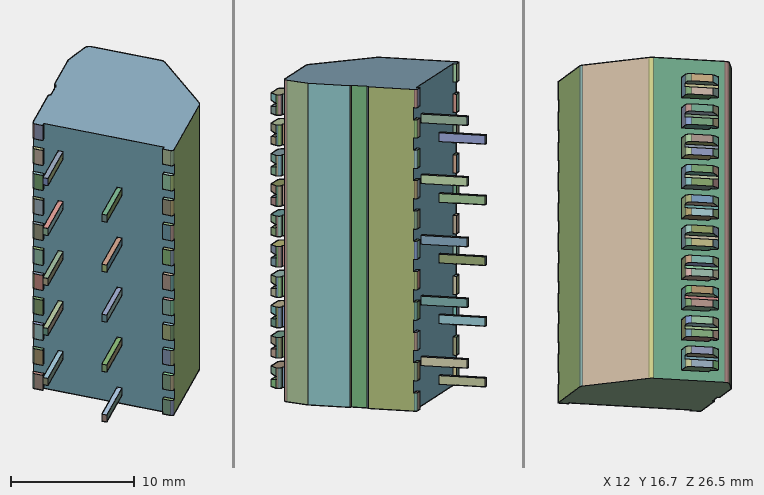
import cadquery as cq
import math


length = 26.5
body_width = 12.0
total_depth = 16.7
pole_count = 10

foot_length = 1.5
foot_width = 0.9
foot_height = 0.3
foot_radius = 0.2
pole_pitch = (length - foot_length) / pole_count

body_top = 11.5
left_slant_start = 9.17
left_slant_angle = 20.0
right_slant_start = 6.86
corner_radius = 0.5
groove_bottom = 4.05
groove_top = 5.65
groove_depth = 0.19
groove_top_taper = 0.08

lever_top = 13.1
lever_left = 2.01
lever_right = 4.82
lever_length = 1.7
first_lever_z = 1.65
hook_overhang = 0.53
hook_underside = 12.08
lever_bevel = 0.6
hook_tip_radius = 0.2
lever_corner_radius = 0.4
slot_top_width = 0.5
slot_floor_width = 0.25

pin_width = 0.42
pin_height = 0.72
first_pin_z = 1.22
pin_left_x = 2.33
pin_right_x = 7.35
pin_tip = lever_top - total_depth

embed = 0.26


def make_body():
    """Extrude the cross-section with its grooved side and two slanted corners."""
    left_slant_run = (body_top - left_slant_start) * math.tan(math.radians(left_slant_angle))
    right_slant_run = body_top - right_slant_start
    outline = [
        (0, foot_height),
        (0, groove_bottom),
        (groove_depth, groove_bottom + groove_depth),
        (groove_depth, groove_top - groove_top_taper),
        (0, groove_top),
        (0, left_slant_start),
        (left_slant_run, body_top),
        (body_width - right_slant_run, body_top),
        (body_width, right_slant_start),
        (body_width, foot_height),
    ]
    rounded_corners = [
        (left_slant_run, body_top),
        (body_width - right_slant_run, body_top),
        (body_width, right_slant_start),
    ]
    body = cq.Workplane("XY").polyline(outline).close().extrude(length)
    for x, y in rounded_corners:
        corner_edge = cq.selectors.NearestToPointSelector((x, y, length / 2))
        body = body.edges(corner_edge).fillet(corner_radius)
    return body


def make_foot():
    """Left-hand foot, rounded at its outer edge."""
    return (
        cq.Workplane("XY")
        .moveTo(foot_width, foot_height)
        .lineTo(foot_width, 0)
        .lineTo(foot_radius, 0)
        .radiusArc((0, foot_radius), foot_radius)
        .lineTo(0, foot_height)
        .close()
        .extrude(foot_length)
    )


def make_lever():
    """Hooked lever centred on Z = 0, with a tapered slot along X in its top."""
    neck_left = lever_left + hook_overhang
    bevel_base = lever_top - lever_bevel
    lever = (
        cq.Workplane("XY", origin=(0, 0, -lever_length / 2))
        .moveTo(neck_left, body_top - embed)
        .lineTo(neck_left, hook_underside)
        .lineTo(lever_left + hook_tip_radius, hook_underside)
        .radiusArc((lever_left, hook_underside + hook_tip_radius), hook_tip_radius)
        .lineTo(lever_left, bevel_base)
        .lineTo(lever_left + lever_bevel, lever_top)
        .lineTo(lever_right - lever_corner_radius, lever_top)
        .radiusArc((lever_right, lever_top - lever_corner_radius), lever_corner_radius)
        .lineTo(lever_right, body_top - embed)
        .close()
        .extrude(lever_length)
    )
    slot = (
        cq.Workplane("YZ", origin=(lever_left, 0, 0))
        .moveTo(lever_top, -slot_top_width / 2)
        .lineTo(lever_top, slot_top_width / 2)
        .lineTo(bevel_base, slot_floor_width / 2)
        .lineTo(bevel_base, -slot_floor_width / 2)
        .close()
        .extrude(lever_right - lever_left)
    )
    return lever.cut(slot)


def make_pin():
    """Rectangular pin centred on X = 0 and Z = 0."""
    pin_length = foot_height + embed - pin_tip
    pin = cq.Workplane("XY").box(pin_width, pin_length, pin_height, centered=(True, False, True))
    return pin.translate((0, pin_tip, 0))


result = make_body()

left_foot = make_foot()
right_foot = left_foot.mirror("YZ").translate((body_width, 0, 0))
for row in range(pole_count + 1):
    row_offset = (0, 0, row * pole_pitch)
    result = result.union(left_foot.translate(row_offset))
    result = result.union(right_foot.translate(row_offset))

lever = make_lever()
pin = make_pin()
for pole in range(pole_count):
    pole_z = pole * pole_pitch
    pin_x = pin_right_x if pole % 2 == 0 else pin_left_x
    result = result.union(lever.translate((0, 0, first_lever_z + pole_z)))
    result = result.union(pin.translate((pin_x, 0, first_pin_z + pole_z)))